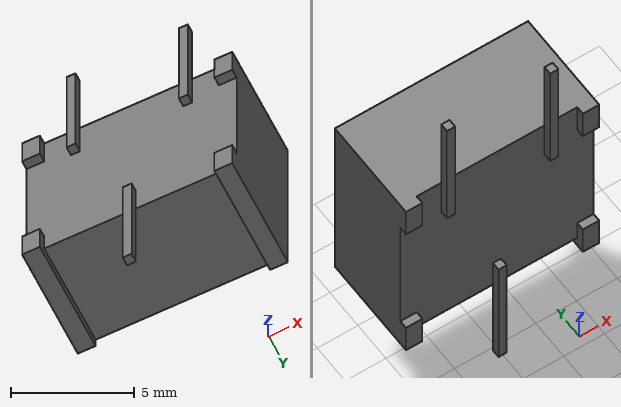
import cadquery as cq

housing_side = 9.5
total_depth = 5.1
foot_width = 0.8
foot_height = 1.54
standoff = 0.4
slot_height = 0.52
block_depth = total_depth - standoff

pin_thickness = standoff
pin_length = 6.0
total_height = 17.5
pin_pitch = 5.08

half_side = housing_side / 2
slot_width = housing_side - 2 * foot_width
pin_center_z = (total_height - pin_length) / 2


def make_foot(side_x, side_z):
    """Standoff foot in the corner given by the signs of X and Z."""
    return cq.Workplane("XY").box(foot_width, standoff, foot_height).translate((
        side_x * (half_side - foot_width / 2),
        -standoff / 2,
        side_z * (half_side - foot_height / 2),
    ))


def make_housing():
    """Block with corner feet and a shallow slot along Y through its underside."""
    block = cq.Workplane("XY").box(housing_side, block_depth, housing_side)
    body = block.translate((0, block_depth / 2, 0))
    for side_x in (-1, 1):
        for side_z in (-1, 1):
            body = body.union(make_foot(side_x, side_z))
    slot = cq.Workplane("XY").box(slot_width, block_depth, slot_height)
    return body.cut(slot.translate((0, block_depth / 2, -half_side + slot_height / 2)))


def make_pin(x, z):
    """Vertical square pin centred at x, z and touching the block face."""
    pin = cq.Workplane("XY").box(pin_thickness, pin_thickness, pin_length)
    return pin.translate((x, -pin_thickness / 2, z))


housing = make_housing()

pin_places = [
    (-pin_pitch / 2, pin_center_z),
    (pin_pitch / 2, pin_center_z),
    (0, -pin_center_z),
]
pins = [make_pin(x, z) for x, z in pin_places]

result = cq.Compound.makeCompound([housing.val(), *[pin.val() for pin in pins]])